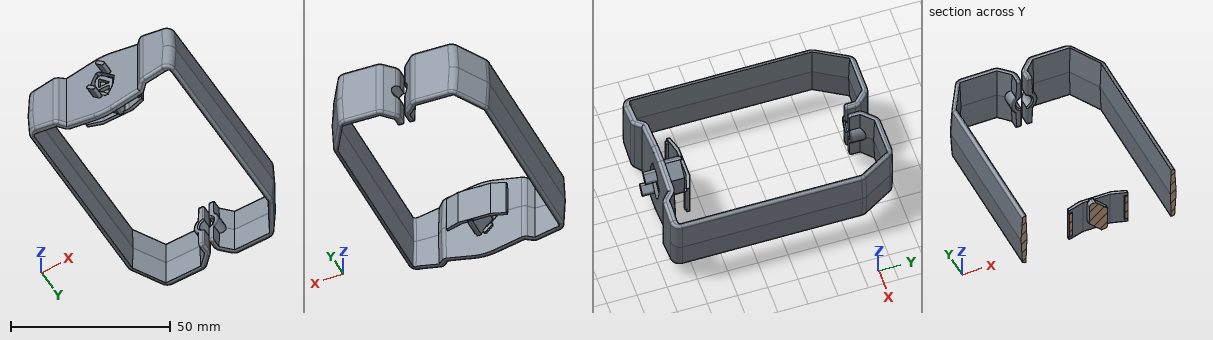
import cadquery as cq
import math

half_width = 26.9
back_y = 38.3
lug_front_y = -38.3
strap_half_height = 10.2
panel_half_height = 29.8 / 2
select_margin = 0.1
edge_round = 0.9

wing_y = -36.85
panel_y = -34.3
jog_depth = panel_y - wing_y
panel_half_width = 12.95
gap_half = 0.85
hook_end_y = 29.25
hook_corner_x = 5.45
back_half_width = 20.1
slant_angle = 60.0
bend_radius = 3.0
jog_radius = 2.5
hook_end_round = 0.45

mouth_half_width = 6.1
mouth_depth = 6.1

strap_thickness = 2.2
hook_thickness = 2.15
front_thickness = 2.5
outer_draft = 3.0
inner_draft = 2.0
panel_back_y = panel_y + front_thickness

peak_half_width = 3.1
peak_start_z = 14.6
shoulder_x = 23.3

panel_envelope_back_y = -23.0

tube_radius = 4.45
tube_bore_radius = 2.7
tube_end_round = 0.3
bore_chamfer = 0.45
chamfer_angle = 45.0

stem_half_width = 3.2
stem_half_height = 6.4
stem_front_y = -33.2
stem_diagonal = 3.8
diagonal_tilt = 45.0
stem_corner_round = 1.4

opening_half_width = 4.2
opening_half_height = 7.05
opening_side_end_z = -1.45
opening_side_z = 1.5
opening_tip_x = -1.45
opening_tip_start = (-2.15, 6.9)
opening_gap = 0.3
web_length = 4.6
web_depth = 0.2

window_depth = 1.2
window_left_x = -1.9
window_right_x = 2.2
window_bottom_z = 0.7
window_top_z = 5.3
window_round = 0.3

lug_back_y = -31.3
lug_width = 1.4
lug_length = 4.05
lug_diagonal = 4.9
lug_shift = 2.6

bow_y = -24.5
bow_thickness = 1.0
bow_flat_half = 5.5
bow_under_flat_half = 4.6
bow_half_length = 10.2
bow_drop = 1.5
bow_half_height = 6.3
lip_width = 1.2
lip_end_y = -27.6
lip_half_height = 5.0


def front_plane(y):
    """XZ plane at the given y; extrusions with positive length go toward -Y."""
    return cq.Workplane("XZ", origin=(0, y, 0))


def mirrored_outline(left_points):
    """Close a left half outline with its mirror image across X = 0."""
    right_points = [(-x, y) for x, y in reversed(left_points)]
    return left_points + right_points


def offset_path(points, distances):
    """Shift each segment of an open path to its left and join the shifted lines at their crossings."""
    lines = []
    for (x0, y0), (x1, y1), distance in zip(points, points[1:], distances):
        length = math.hypot(x1 - x0, y1 - y0)
        ux = (x1 - x0) / length
        uy = (y1 - y0) / length
        lines.append((x0 - uy * distance, y0 + ux * distance, ux, uy))

    first_x, first_y, _, _ = lines[0]
    shifted = [(first_x, first_y)]
    for (ax, ay, aux, auy), (bx, by, bux, buy) in zip(lines, lines[1:]):
        along = ((bx - ax) * buy - (by - ay) * bux) / (aux * buy - auy * bux)
        shifted.append((ax + along * aux, ay + along * auy))
    last_y = points[-1][1] + distances[-1]
    shifted.append((points[-1][0], last_y))
    return shifted


def upright_edge(corner):
    """Selector for the edge of an upper half block that rises from a corner of its outline."""
    return cq.selectors.NearestToPointSelector((corner[0], corner[1], panel_half_height / 2))


def flat_face(corners):
    """Flat polygon face through the given points."""
    return cq.Face.makeFromWires(cq.Wire.makePolygon([cq.Vector(*corner) for corner in corners], close=True))


def drafted_block(middle_points, end_points, rounded_corners):
    """Flat-sided body from the middle plane up to the end outline, with rounded corners, mirrored below."""
    lower_ring = [(x, y, 0) for x, y in middle_points]
    upper_ring = [(x, y, panel_half_height) for x, y in end_points]
    faces = [flat_face(lower_ring), flat_face(upper_ring)]
    for i in range(len(lower_ring)):
        faces.append(flat_face([lower_ring[i - 1], lower_ring[i], upper_ring[i], upper_ring[i - 1]]))
    upper = cq.Workplane(cq.Solid.makeSolid(cq.Shell.makeShell(faces)))
    for (x, y), radius in rounded_corners:
        upper = upper.edges(upright_edge((x, y))).fillet(radius)
        upper = upper.edges(upright_edge((-x, y))).fillet(radius)
    return upper.union(upper.mirror("XY")).clean()


slant_run = half_width - back_half_width
strap_path = [
    (-gap_half, hook_end_y),
    (-gap_half, back_y - (hook_corner_x - gap_half)),
    (-hook_corner_x, back_y),
    (-back_half_width, back_y),
    (-half_width, back_y - slant_run * math.tan(math.radians(slant_angle))),
    (-half_width, wing_y),
    (-panel_half_width - jog_depth, wing_y),
    (-panel_half_width, panel_y),
    (0, panel_y),
]

wall = [hook_thickness] + [strap_thickness] * 4 + [front_thickness] * 3
growth = panel_half_height * math.tan(math.radians(inner_draft))
inner_path = offset_path(strap_path, wall)
inner_end_path = offset_path(strap_path, [thickness - growth for thickness in wall])


def panel_envelope():
    """Tall body along Y with the front panel outline: sloping shoulders and rounded peaks."""
    return (
        front_plane(panel_envelope_back_y)
        .moveTo(-shoulder_x, strap_half_height)
        .lineTo(-peak_half_width, peak_start_z)
        .threePointArc((0, panel_half_height), (peak_half_width, peak_start_z))
        .lineTo(shoulder_x, strap_half_height)
        .lineTo(shoulder_x, -strap_half_height)
        .lineTo(peak_half_width, -peak_start_z)
        .threePointArc((0, -panel_half_height), (-peak_half_width, -peak_start_z))
        .lineTo(-shoulder_x, -strap_half_height)
        .close()
        .extrude(panel_envelope_back_y - lug_front_y)
    )


def rim_selector():
    """Outer edges along the top and bottom, without those that the cavity removes."""
    low_z = strap_half_height - select_margin
    high_z = panel_half_height + select_margin
    reach_x = half_width + select_margin
    reach_y = back_y + select_margin
    top = cq.selectors.BoxSelector((-reach_x, -reach_y, low_z), (reach_x, reach_y, high_z), True)
    bottom = cq.selectors.BoxSelector((-reach_x, -reach_y, -high_z), (reach_x, reach_y, -low_z), True)
    removed = cq.selectors.BoxSelector(
        (-shoulder_x - select_margin, panel_back_y, -high_z),
        (shoulder_x + select_margin, hook_end_y - select_margin, high_z),
    )
    return top + bottom - removed


def outer_block():
    """Solid body inside the outer strap faces, with a notch between the hooks."""
    inset = panel_half_height * math.tan(math.radians(outer_draft))
    draft_insets = [0, 0, 0, inset, inset, 0, 0, 0]
    mouth = [(-mouth_half_width, hook_end_y - mouth_depth), (-mouth_half_width, hook_end_y)]
    middle = mirrored_outline(mouth + strap_path[:-1])
    ends = mirrored_outline(mouth + offset_path(strap_path, draft_insets)[:-1])
    bends = [(corner, bend_radius) for corner in strap_path[1:6]]
    bends.append((strap_path[6], jog_radius))
    bends.append((strap_path[0], hook_end_round))
    block = drafted_block(middle, ends, bends)
    strap_band = cq.Workplane("XY").box(2 * half_width, 2 * back_y, 2 * strap_half_height)
    block = block.intersect(strap_band.union(panel_envelope()))
    return block.edges(rim_selector()).fillet(edge_round)


def cavity():
    """Space enclosed by the inner strap faces."""
    bends = [(inner_path[5], bend_radius - strap_thickness), (inner_path[7], jog_radius)]
    return drafted_block(mirrored_outline(inner_path[:-1]), mirrored_outline(inner_end_path[:-1]), bends)


def hook_tube(radius):
    """Cylinder along Y between the hooks, from the hook ends to the back."""
    return front_plane(hook_end_y).circle(radius).extrude(hook_end_y - back_y)


def hook_bore():
    """Bore of the half tubes with a chamfered mouth at the hook ends."""
    mouth_circle = front_plane(hook_end_y).circle(tube_bore_radius + bore_chamfer)
    mouth = mouth_circle.extrude(-bore_chamfer, taper=chamfer_angle)
    return hook_tube(tube_bore_radius).union(mouth)


def turned(body):
    """The body together with its copy turned half a turn about the Y axis."""
    return body.union(body.rotate((0, 0, 0), (0, 1, 0), 180))


def stem():
    """Post from just behind the panel front to the bow, with two rounded corners."""
    corner_x = stem_diagonal * math.sqrt(2) - stem_half_height
    corner_z = stem_diagonal * math.sqrt(2) - stem_half_width
    outline = [
        (-stem_half_width, stem_half_height),
        (corner_x, stem_half_height),
        (stem_half_width, corner_z),
        (stem_half_width, -stem_half_height),
        (-corner_x, -stem_half_height),
        (-stem_half_width, -corner_z),
    ]
    bow_middle_y = bow_y - bow_thickness / 2
    depth = bow_middle_y - stem_front_y
    body = front_plane(stem_front_y).polyline(outline).close().extrude(-depth)
    for x, z in (outline[0], outline[3]):
        corner = cq.selectors.NearestToPointSelector((x, stem_front_y + depth / 2, z))
        body = body.edges(corner).fillet(stem_corner_round)
    return body


def window():
    """Triangular recess above the middle bar of the stem."""
    outline = [
        (window_left_x, window_bottom_z),
        (window_right_x, window_bottom_z),
        (window_left_x, window_top_z),
    ]
    body = front_plane(stem_front_y).polyline(outline).close().extrude(-window_depth)
    return body.edges("|Y").fillet(window_round)


def opening():
    """Cut through the panel with two bowed sides and two diagonal sides."""
    sum_xz = (stem_diagonal + opening_gap) * math.sqrt(2)
    start_x, start_z = opening_tip_start
    tip_end_x = sum_xz - start_z
    side_end_x = -sum_xz - opening_side_end_z
    return (
        front_plane(panel_back_y)
        .moveTo(side_end_x, opening_side_end_z)
        .threePointArc((-opening_half_width, opening_side_z), (start_x, start_z))
        .threePointArc((opening_tip_x, opening_half_height), (tip_end_x, start_z))
        .lineTo(-side_end_x, -opening_side_end_z)
        .threePointArc((opening_half_width, -opening_side_z), (-start_x, -start_z))
        .threePointArc((-opening_tip_x, -opening_half_height), (-tip_end_x, -start_z))
        .close()
        .extrude(panel_back_y - panel_y)
    )


def lug():
    """Round-ended bar through the panel, lying along the upper diagonal side of the stem."""
    body = front_plane(lug_back_y).center(-lug_shift, lug_diagonal).slot2D(lug_length, lug_width)
    return body.extrude(lug_back_y - lug_front_y).rotate((0, 0, 0), (0, 1, 0), diagonal_tilt)


def web():
    """Bridges from both diagonal sides of the stem to the panel."""
    front_y = stem_front_y + web_depth
    span = 2 * (stem_diagonal + opening_gap)
    body = front_plane(panel_back_y).rect(web_length, span).extrude(panel_back_y - front_y)
    return body.rotate((0, 0, 0), (0, 1, 0), diagonal_tilt)


def bow():
    """Thin plate across the back of the stem with drooping ends and a short lip at each end."""
    tip_y = bow_y - bow_drop
    left_half = [
        (-bow_flat_half, bow_y),
        (-bow_half_length, tip_y),
        (-bow_half_length, tip_y - bow_thickness),
        (-bow_under_flat_half, bow_y - bow_thickness),
    ]
    plate = cq.Workplane("XY").polyline(
        left_half + [(-x, y) for x, y in reversed(left_half)]
    ).close().extrude(bow_half_height, both=True)
    lip = cq.Workplane("XY").box(lip_width, tip_y - lip_end_y, 2 * lip_half_height)
    lip_x = bow_half_length - lip_width / 2
    lip_y = (tip_y + lip_end_y) / 2
    for side in (-1, 1):
        plate = plate.union(lip.translate((side * lip_x, lip_y, 0)))
    return plate


solid_outline = outer_block()
strap = solid_outline.cut(cavity())

tube = hook_tube(tube_radius).faces("<Y").edges().fillet(tube_end_round)
strap = strap.union(tube.intersect(solid_outline)).cut(hook_bore())

strap = strap.cut(opening()).union(web())
strap = strap.union(turned(lug())).union(stem()).union(bow())
result = strap.cut(turned(window()))